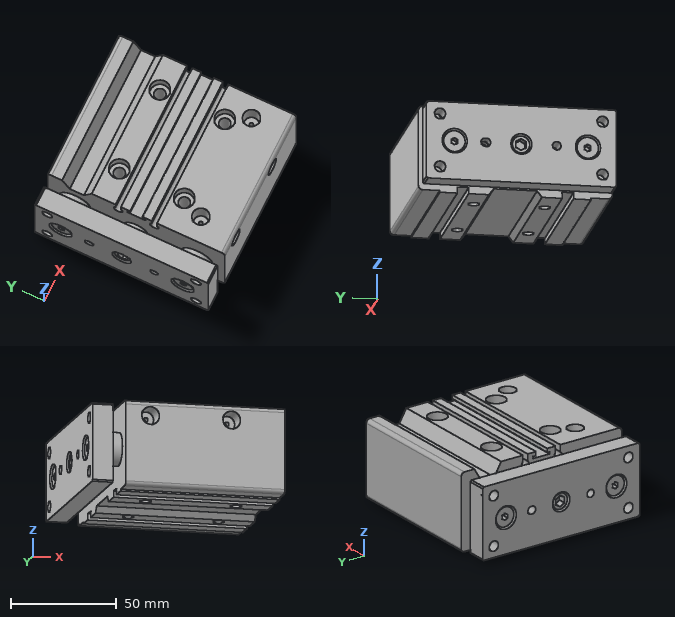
import cadquery as cq
import math

TOTAL_LENGTH = 93.5
PLATE_THICKNESS = 10.0
ROD_GAP = 6.0
HOUSING_FRONT = PLATE_THICKNESS + ROD_GAP
HOUSING_LENGTH = TOTAL_LENGTH - HOUSING_FRONT
HOUSING_WIDTH = 93.0
HOUSING_HEIGHT = 42.0
HALF_WIDTH = HOUSING_WIDTH / 2
TOP = HOUSING_HEIGHT / 2
BOTTOM = -TOP
EDGE_RADIUS = 2.0

FOOT_HALF_WIDTH = 36.3
FOOT_STEP = 0.8

CHANNEL_CENTRE_Y = 31.1
CHANNEL_WIDTH = 15.5
CHANNEL_DEPTH = 7.0
CHANNEL_WALL_ANGLE = 30.0

SENSOR_GROOVE_Y = 9.4
SENSOR_GROOVE_WIDTH = 2.8
SENSOR_BORE_DIAMETER = 4.5
SENSOR_BORE_DEPTH = 5.4

T_SLOT_OPENING = 6.45
T_SLOT_HEAD_WIDTH = 9.6
T_SLOT_LIP = 2.15
T_SLOT_DEPTH = 3.2

FOOT_SLOT_Y = 25.15
FOOT_SLOT_WIDTH = 5.4
RELIEF_WIDTH = 25.4
RELIEF_WALL_ANGLE = 38.0
UNDERSIDE_DEPTH = 3.0

MOUNT_FIRST_X = 32.9
MOUNT_SPACING_X = 44.0
MOUNT_Y = 17.0
COUNTERBORE_DIAMETER = 10.0
COUNTERBORE_DEPTH = 6.0
MOUNT_HOLE_DIAMETER = 5.8
MOUNT_TAP_DIAMETER = 5.2
MOUNT_TAP_LENGTH = 12.0

PORT_MOUTH_DIAMETER = 8.5
PORT_FLOOR_DIAMETER = 7.5
PORT_DEPTH = 9.35
PORT_PASSAGE_DIAMETER = 2.0
PORT_PASSAGE_DEPTH = 14.0
PORT_FIRST_X = 28.05
TOP_PORT_SECOND_X = 83.0
TOP_PORT_Y = -28.05
SIDE_PORT_SECOND_X = 67.5
SIDE_PORT_Z = 13.9

PLATE_WIDTH = 91.1
PLATE_HEIGHT = 38.0
PLATE_CHAMFER = 0.75
TOOL_HOLE_DIAMETER = 5.2
TOOL_HOLE_SPACING_Y = 78.0
TOOL_HOLE_SPACING_Z = 26.0
PIN_HOLE_DIAMETER = 4.0
PIN_HOLE_Y = 17.0
PIN_SLOT_LENGTH = 4.5
PIN_SLOT_DEPTH = 6.0

GUIDE_ROD_DIAMETER = 16.0
GUIDE_ROD_Y = 32.0
PISTON_ROD_DIAMETER = 12.0
RECESS_DEPTH = 0.8
GUIDE_RECESS_DIAMETER = 12.0
PISTON_RECESS_DIAMETER = 10.0
GUIDE_SOCKET_FLATS = 3.0
PISTON_SOCKET_FLATS = 5.0
SOCKET_DEPTH = 4.0


def bar_along_housing(points):
    """Closed Y-Z outline extruded over the whole housing length."""
    return cq.Workplane("YZ", origin=(HOUSING_FRONT, 0, 0)).polyline(points).close().extrude(HOUSING_LENGTH)


def rectangle_bar(centre_y, width, z_low, z_high):
    left = centre_y - width / 2
    right = centre_y + width / 2
    return bar_along_housing([(left, z_low), (right, z_low), (right, z_high), (left, z_high)])


def trapezoid_bar(centre_y, mouth_width, wall_angle, z_mouth, z_floor):
    """Groove narrowing from its mouth to its floor."""
    half_mouth = mouth_width / 2
    half_floor = half_mouth - abs(z_floor - z_mouth) * math.tan(math.radians(wall_angle))
    return bar_along_housing([
        (centre_y - half_mouth, z_mouth),
        (centre_y + half_mouth, z_mouth),
        (centre_y + half_floor, z_floor),
        (centre_y - half_floor, z_floor),
    ])


def cylinder(start, direction, diameter, length):
    return cq.Workplane(cq.Solid.makeCylinder(diameter / 2, length, cq.Vector(*start), cq.Vector(*direction)))


def cone(start, direction, start_diameter, end_diameter, length):
    return cq.Workplane(
        cq.Solid.makeCone(start_diameter / 2, end_diameter / 2, length, cq.Vector(*start), cq.Vector(*direction))
    )


def housing_block():
    foot_top = BOTTOM + FOOT_STEP
    block = bar_along_housing([
        (-HALF_WIDTH, TOP),
        (HALF_WIDTH, TOP),
        (HALF_WIDTH, foot_top),
        (FOOT_HALF_WIDTH, foot_top),
        (FOOT_HALF_WIDTH, BOTTOM),
        (-FOOT_HALF_WIDTH, BOTTOM),
        (-FOOT_HALF_WIDTH, foot_top),
        (-HALF_WIDTH, foot_top),
    ])
    return block.faces(">Y or <Y").edges("|X").fillet(EDGE_RADIUS)


def sensor_groove(centre_y):
    bore_z = TOP - SENSOR_BORE_DEPTH
    bore = cylinder((HOUSING_FRONT, centre_y, bore_z), (1, 0, 0), SENSOR_BORE_DIAMETER, HOUSING_LENGTH)
    return rectangle_bar(centre_y, SENSOR_GROOVE_WIDTH, bore_z, TOP).union(bore)


def t_slot():
    floor_z = TOP - T_SLOT_DEPTH
    opening = rectangle_bar(0, T_SLOT_OPENING, floor_z, TOP)
    head = rectangle_bar(0, T_SLOT_HEAD_WIDTH, floor_z, TOP - T_SLOT_LIP)
    return opening.union(head)


def mounting_hole(x, y):
    counterbore = cylinder((x, y, TOP), (0, 0, -1), COUNTERBORE_DIAMETER, COUNTERBORE_DEPTH)
    tap_top = BOTTOM + MOUNT_TAP_LENGTH
    clearance = cylinder((x, y, tap_top), (0, 0, 1), MOUNT_HOLE_DIAMETER, TOP - tap_top)
    tap = cylinder((x, y, BOTTOM), (0, 0, 1), MOUNT_TAP_DIAMETER, HOUSING_HEIGHT)
    return counterbore.union(clearance).union(tap)


def air_port(mouth, direction):
    taper = cone(mouth, direction, PORT_MOUTH_DIAMETER, PORT_FLOOR_DIAMETER, PORT_DEPTH)
    passage = cylinder(mouth, direction, PORT_PASSAGE_DIAMETER, PORT_PASSAGE_DEPTH)
    return taper.union(passage)


def make_housing():
    housing = housing_block()

    housing = housing.cut(
        trapezoid_bar(CHANNEL_CENTRE_Y, CHANNEL_WIDTH, CHANNEL_WALL_ANGLE, TOP, TOP - CHANNEL_DEPTH)
    )
    housing = housing.cut(t_slot())
    for side in (-1, 1):
        housing = housing.cut(sensor_groove(side * SENSOR_GROOVE_Y))

    recess_z = BOTTOM + UNDERSIDE_DEPTH
    housing = housing.cut(trapezoid_bar(0, RELIEF_WIDTH, RELIEF_WALL_ANGLE, BOTTOM, recess_z))
    for side in (-1, 1):
        housing = housing.cut(rectangle_bar(side * FOOT_SLOT_Y, FOOT_SLOT_WIDTH, BOTTOM, recess_z))

    for x in (MOUNT_FIRST_X, MOUNT_FIRST_X + MOUNT_SPACING_X):
        for y in (-MOUNT_Y, MOUNT_Y):
            housing = housing.cut(mounting_hole(x, y))

    for x in (PORT_FIRST_X, TOP_PORT_SECOND_X):
        housing = housing.cut(air_port((x, TOP_PORT_Y, TOP), (0, 0, -1)))
    for x in (PORT_FIRST_X, SIDE_PORT_SECOND_X):
        housing = housing.cut(air_port((x, -HALF_WIDTH, SIDE_PORT_Z), (0, 1, 0)))
    return housing


def plate_with_holes():
    plate = (
        cq.Workplane("YZ")
        .rect(PLATE_WIDTH, PLATE_HEIGHT)
        .extrude(PLATE_THICKNESS)
        .edges("|X")
        .chamfer(PLATE_CHAMFER)
    )
    tool_holes = (
        cq.Workplane("YZ")
        .rect(TOOL_HOLE_SPACING_Y, TOOL_HOLE_SPACING_Z, forConstruction=True)
        .vertices()
        .circle(TOOL_HOLE_DIAMETER / 2)
        .extrude(PLATE_THICKNESS)
    )
    pin_slot = (
        cq.Workplane("YZ")
        .center(PIN_HOLE_Y, 0)
        .slot2D(PIN_SLOT_LENGTH, PIN_HOLE_DIAMETER)
        .extrude(PIN_SLOT_DEPTH)
    )
    plate = plate.cut(tool_holes).cut(pin_slot)
    for y in (-PIN_HOLE_Y, PIN_HOLE_Y):
        plate = plate.cut(cylinder((0, y, 0), (1, 0, 0), PIN_HOLE_DIAMETER, PLATE_THICKNESS))
    return plate


def rod_end_recess(y, mouth_diameter, socket_flats):
    """45 degree conical recess in the plate with a hexagon socket in its floor."""
    floor_diameter = mouth_diameter - 2 * RECESS_DEPTH
    recess = cone((0, y, 0), (1, 0, 0), mouth_diameter, floor_diameter, RECESS_DEPTH)
    socket = (
        cq.Workplane("YZ")
        .center(y, 0)
        .polygon(6, socket_flats, circumscribed=True)
        .extrude(RECESS_DEPTH + SOCKET_DEPTH)
    )
    return recess.union(socket)


def make_slide():
    """Tooling plate with its piston rod and two guide rods, ending at the housing face."""
    slide = plate_with_holes()
    rods = [(0, PISTON_ROD_DIAMETER, PISTON_RECESS_DIAMETER, PISTON_SOCKET_FLATS)]
    for side in (-1, 1):
        rods.append((side * GUIDE_ROD_Y, GUIDE_ROD_DIAMETER, GUIDE_RECESS_DIAMETER, GUIDE_SOCKET_FLATS))
    for y, rod_diameter, recess_diameter, socket_flats in rods:
        slide = slide.union(cylinder((PLATE_THICKNESS, y, 0), (1, 0, 0), rod_diameter, ROD_GAP))
        slide = slide.cut(rod_end_recess(y, recess_diameter, socket_flats))
    return slide


housing = make_housing()
slide = make_slide()

result = cq.Compound.makeCompound([housing.val(), slide.val()])